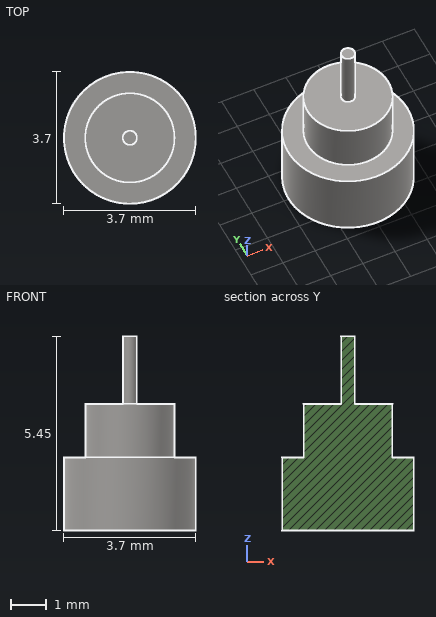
import cadquery as cq

total_height = 5.45
base_diameter = 3.7
base_height = 2.05
sleeve_diameter = 2.5
sleeve_height = 1.5
seal_diameter = 1.95
pin_diameter = 0.4

sleeve_top = base_height + sleeve_height
pin_height = total_height - sleeve_top


def cylinder(diameter, height, bottom):
    """Upright cylinder on the Z axis, standing at the given level."""
    return cq.Workplane("XY").workplane(offset=bottom).circle(diameter / 2).extrude(height)


base = cylinder(base_diameter, base_height, 0)
sleeve = cylinder(sleeve_diameter, sleeve_height, base_height)
body = base.union(sleeve)

seal = cylinder(seal_diameter, sleeve_height, base_height)
body = body.cut(seal)

pin = cylinder(pin_diameter, pin_height, sleeve_top)

result = body.union(seal, clean=False).union(pin, clean=False)